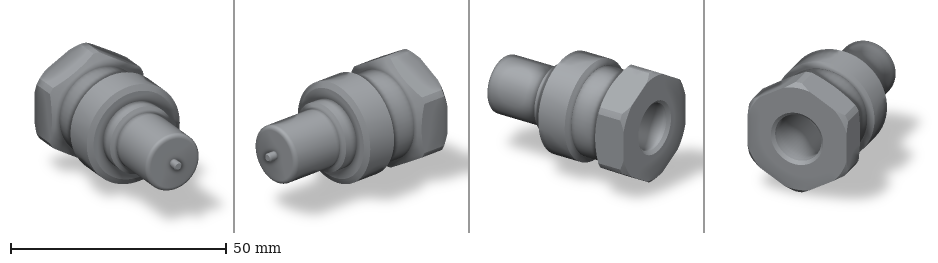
import cadquery as cq
import math


across_flats = 25.0
corner_radius = 13.99
front_chamfer = 1.0
nut_rear_edge = 7.25
nut_end = 9.05

neck_radius = 11.0
collar_start = 15.95
collar_end = 24.95
collar_radius = across_flats / 2
collar_front_chamfer = 0.8
collar_rear_chamfer = 0.7
collar_chamfer_depth = 1.45

shoulder_radius = 8.5
shoulder_edge = 28.2
shoulder_end = 28.95
barrel_radius = 7.15
barrel_end = 43.0
barrel_fillet = 1.0

pin_radius = 1.05
pin_end = 45.2
pin_chamfer = 0.25

bore_radius = 5.85
mouth_radius = 6.6
bore_depth = 18.1
bottom_radius = 4.25
bottom_taper = 2.7


def revolve_about_x(points):
    """Solid of revolution from (x, radius) points that start and end on the axis."""
    return cq.Workplane("XY").polyline(points).close().revolve(360, (0, 0, 0), (1, 0, 0))


def hex_nut():
    across_corners = across_flats / math.cos(math.pi / 6)
    prism = cq.Workplane("YZ").polygon(6, across_corners).extrude(nut_end)
    prism = prism.rotate((0, 0, 0), (1, 0, 0), 90)
    envelope = revolve_about_x([
        (0, 0),
        (0, corner_radius - front_chamfer),
        (front_chamfer, corner_radius),
        (nut_rear_edge, corner_radius),
        (nut_end, neck_radius),
        (nut_end, 0),
    ])
    return prism.intersect(envelope)


def turned_body():
    collar_edge_radius = collar_radius - collar_chamfer_depth
    profile = (
        cq.Workplane("XY")
        .moveTo(nut_rear_edge, 0)
        .lineTo(nut_rear_edge, neck_radius)
        .lineTo(collar_start, neck_radius)
        .lineTo(collar_start, collar_edge_radius)
        .lineTo(collar_start + collar_front_chamfer, collar_radius)
        .lineTo(collar_end - collar_rear_chamfer, collar_radius)
        .lineTo(collar_end, collar_edge_radius)
        .lineTo(collar_end, shoulder_radius)
        .lineTo(shoulder_edge, shoulder_radius)
        .lineTo(shoulder_end, barrel_radius)
        .lineTo(barrel_end - barrel_fillet, barrel_radius)
        .radiusArc((barrel_end, barrel_radius - barrel_fillet), barrel_fillet)
        .lineTo(barrel_end, pin_radius)
        .lineTo(pin_end - pin_chamfer, pin_radius)
        .lineTo(pin_end, pin_radius - pin_chamfer)
        .lineTo(pin_end, 0)
        .close()
    )
    return profile.revolve(360, (0, 0, 0), (1, 0, 0))


def blind_bore():
    mouth_chamfer = mouth_radius - bore_radius
    return revolve_about_x([
        (0, 0),
        (0, mouth_radius),
        (mouth_chamfer, bore_radius),
        (bore_depth, bore_radius),
        (bore_depth + bottom_taper, bottom_radius),
        (bore_depth + bottom_taper, 0),
    ])


result = hex_nut().union(turned_body()).cut(blind_bore())